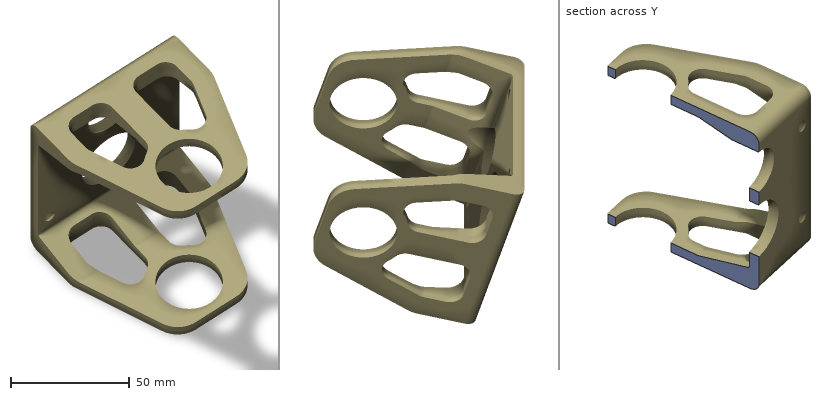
import cadquery as cq
import math

length = 78.8
width = 76.2
height = 87.6
thickness = 5.3
outer_bend_radius = 4.8

root_depth = 11.6
root_end_x = 31.55
inner_corner_radius = 1.0

taper_slope = math.tan(math.radians(20))
taper_start_x = 28.0
shoulder_radius = 12.5
tip_radius = 12.5

bore_diameter = 28.6
bore_x = 60.3

window_start_x = 9.8
window_taper_x = 26.7
window_inner_y = 6.5
window_outer_y = 28.4
window_corner_radius = 6.1
rim_radius = 19.3

plate_bores = [(22.1, 23.4), (bore_diameter, -9.4)]
screw_diameter = 5.0
screw_y = 31.7
screw_heights = (26.55, -24.1)


def side_profile():
    """C-shaped section with thickened arm roots, extruded across the width."""
    top = height / 2
    arm_inside = top - thickness
    root_inside = top - root_depth
    profile = (
        cq.Workplane("XZ")
        .polyline([
            (0, -top),
            (length, -top),
            (length, -arm_inside),
            (root_end_x, -arm_inside),
            (thickness, -root_inside),
            (thickness, root_inside),
            (root_end_x, arm_inside),
            (length, arm_inside),
            (length, top),
            (0, top),
        ])
        .close()
        .extrude(width / 2, both=True)
    )
    profile = profile.edges("|Y and <X").fillet(outer_bend_radius)
    inner_corners = cq.selectors.BoxSelector(
        (thickness - 0.9, -width, -root_inside - 0.9),
        (thickness + 0.9, width, root_inside + 0.9),
    )
    return profile.edges("|Y").edges(inner_corners).fillet(inner_corner_radius)


def arm_outline():
    """Plan outline of the bracket, extruded over the full height."""
    side_y = width / 2
    tip_y = side_y - (length - taper_start_x) * taper_slope
    outline = (
        cq.Workplane("XY")
        .polyline([
            (0, -side_y),
            (taper_start_x, -side_y),
            (length, -tip_y),
            (length, tip_y),
            (taper_start_x, side_y),
            (0, side_y),
        ])
        .close()
        .extrude(height / 2, both=True)
    )
    shoulders = cq.selectors.BoxSelector(
        (taper_start_x - 0.9, -width, -height), (taper_start_x + 0.9, width, height)
    )
    outline = outline.edges("|Z").edges(shoulders).fillet(shoulder_radius)
    return outline.edges("|Z and >X").fillet(tip_radius)


def arm_window():
    """Cutter for the window on the +Y side of both arms."""
    end_y = window_outer_y - (bore_x - window_taper_x) * taper_slope
    blank = (
        cq.Workplane("XY")
        .polyline([
            (window_start_x, window_inner_y),
            (bore_x, window_inner_y),
            (bore_x, end_y),
            (window_taper_x, window_outer_y),
            (window_start_x, window_outer_y),
        ])
        .close()
        .extrude(height / 2, both=True)
    )
    rim = cq.Workplane("XY").center(bore_x, 0).circle(rim_radius).extrude(height / 2, both=True)
    window = blank.cut(rim)
    return window.edges("|Z").fillet(window_corner_radius)


def arm_bore():
    """Cutter for the round hole through both arms."""
    return cq.Workplane("XY").center(bore_x, 0).circle(bore_diameter / 2).extrude(height / 2, both=True)


def plate_hole(diameter, y, z):
    """Cutter through the back plate and any thickened arm root behind it."""
    return cq.Workplane("YZ").center(y, z).circle(diameter / 2).extrude(root_end_x)


result = side_profile().intersect(arm_outline())

window = arm_window()
result = result.cut(window).cut(window.mirror("XZ")).cut(arm_bore())

for diameter, z in plate_bores:
    result = result.cut(plate_hole(diameter, 0, z))

for z in screw_heights:
    for y in (-screw_y, screw_y):
        result = result.cut(plate_hole(screw_diameter, y, z))